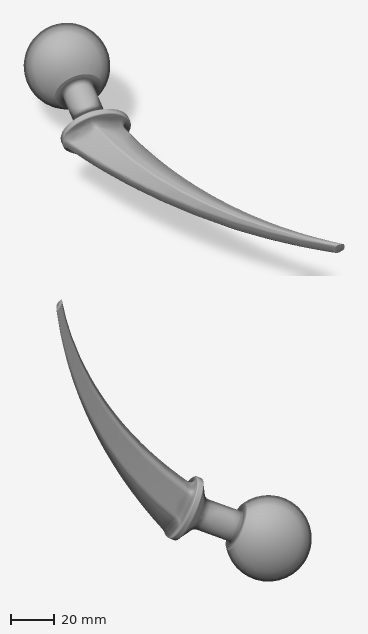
import cadquery as cq
import math


BALL_RADIUS = 20.0
BALL_FLAT_X = 16.4
NECK_RADIUS = 7.5
NECK_ROOT_FILLET = 1.0
COLLAR_START_X = 35.5
COLLAR_FILLET = 4.0
EDGE_FIND_MARGIN = 0.1

RIM_START_X = 40.6
RIM_END_X = 43.8
RIM_HALF_Y = 16.7
RIM_HALF_Z = 13.4
RIM_FILLET = 0.6

INNER_ARC = [(RIM_END_X, 11.8), (97.5, 37.3), (145.7, 86.5)]
OUTER_ARC = [(RIM_END_X, -16.6), (97.5, 22.1), (146.4, 82.0)]
RIDGE_FRACTIONS = [0.5, 0.38, 0.28, 0.24, 0.42]
INNER_HALF_WIDTHS = (3.9, 2.0)
RIDGE_HALF_WIDTHS = (8.6, 2.75)
OUTER_HALF_WIDTHS = (2.2, 2.6)
EDGE_RADII = (2.0, 1.3)
TIP_RISE = 1.0

ROOT_FLARE_RADIUS = 3.0
ROOT_FLARE_SHARE = 0.025
ROOT_FLARE_STEPS = 3


def ellipse_at(x, half_y, half_z):
    return cq.Workplane("YZ", origin=(x, 0, 0)).ellipse(half_y, half_z)


def fillet_neck_end(body, x, radius):
    """Round the circular edge where the neck meets the ball flat or the collar."""
    reach = NECK_RADIUS + EDGE_FIND_MARGIN
    near_corner = (x - EDGE_FIND_MARGIN, -reach, -reach)
    far_corner = (x + EDGE_FIND_MARGIN, reach, reach)
    neck_edges = cq.selectors.BoxSelector(near_corner, far_corner, boundingbox=True)
    return body.edges(neck_edges).fillet(radius)


def make_ball_mount():
    flat_radius = math.sqrt(BALL_RADIUS**2 - BALL_FLAT_X**2)
    ball_and_neck = (
        cq.Workplane("XY")
        .moveTo(-BALL_RADIUS, 0)
        .threePointArc((0, -BALL_RADIUS), (BALL_FLAT_X, -flat_radius))
        .lineTo(BALL_FLAT_X, -NECK_RADIUS)
        .lineTo(COLLAR_START_X, -NECK_RADIUS)
        .lineTo(COLLAR_START_X, 0)
        .close()
        .revolve(360, (0, 0, 0), (1, 0, 0))
    )
    collar = (
        cq.Workplane("YZ", origin=(COLLAR_START_X, 0, 0))
        .circle(NECK_RADIUS)
        .workplane(offset=RIM_START_X - COLLAR_START_X)
        .ellipse(RIM_HALF_Y - RIM_FILLET, RIM_HALF_Z - RIM_FILLET)
        .loft(ruled=True)
    )
    mount = ball_and_neck.union(collar)
    mount = fillet_neck_end(mount, BALL_FLAT_X, NECK_ROOT_FILLET)
    return fillet_neck_end(mount, COLLAR_START_X, COLLAR_FILLET)


def arc_point(arc, share):
    """Point at a share of the length of the arc through three points."""
    edge = cq.Edge.makeThreePointArc(*[cq.Vector(x, y, 0) for x, y in arc])
    return edge.positionAt(share)


def between(root_and_tip, share):
    root, tip = root_and_tip
    return root + (tip - root) * share


def blade_section(share, ridge_fraction, growth=0.0):
    """Rounded hexagon across the blade, grown outward by growth on every side."""
    inner = arc_point(INNER_ARC, share)
    outer = arc_point(OUTER_ARC, share)
    ridge = outer + (inner - outer) * ridge_fraction
    corners = [
        (inner, between(INNER_HALF_WIDTHS, share)),
        (ridge, between(RIDGE_HALF_WIDTHS, share)),
        (outer, between(OUTER_HALF_WIDTHS, share)),
    ]
    mid_z = TIP_RISE * share
    upper = [cq.Vector(p.x, p.y, mid_z + half_width) for p, half_width in corners]
    lower = [cq.Vector(p.x, p.y, mid_z - half_width) for p, half_width in reversed(corners)]
    outline = cq.Wire.makePolygon(upper + lower, close=True)
    edge_radius = between(EDGE_RADII, share)
    core = outline.offset2D(-edge_radius, "intersection")[0]
    return core.offset2D(edge_radius + growth, "arc")[0]


def make_blade():
    last = len(RIDGE_FRACTIONS) - 1
    sections = []
    for i, ridge_fraction in enumerate(RIDGE_FRACTIONS):
        share = ROOT_FLARE_SHARE + (1 - ROOT_FLARE_SHARE) * i / last
        sections.append(blade_section(share, ridge_fraction))
    return cq.Workplane(cq.Solid.makeLoft(sections))


def make_root_flare():
    """Blade root that widens along a concave quarter round, kept within the rim outline."""
    sections = []
    for i in range(ROOT_FLARE_STEPS + 1):
        angle = math.pi / 2 * i / ROOT_FLARE_STEPS
        rise = 1 - math.cos(angle)
        growth = ROOT_FLARE_RADIUS * (1 - math.sin(angle))
        sections.append(blade_section(ROOT_FLARE_SHARE * rise, RIDGE_FRACTIONS[0], growth))
    flare = cq.Workplane(cq.Solid.makeLoft(sections))
    rim_outline = ellipse_at(RIM_START_X, RIM_HALF_Y, RIM_HALF_Z).extrude(RIM_HALF_Y)
    return flare.intersect(rim_outline)


def make_claw():
    rim = ellipse_at(RIM_START_X, RIM_HALF_Y, RIM_HALF_Z).extrude(RIM_END_X - RIM_START_X)
    rim = rim.faces("<X or >X").edges().fillet(RIM_FILLET)
    return rim.union(make_root_flare()).union(make_blade())


ball_mount = make_ball_mount()
claw = make_claw()
result = cq.Compound.makeCompound([ball_mount.val(), claw.val()])